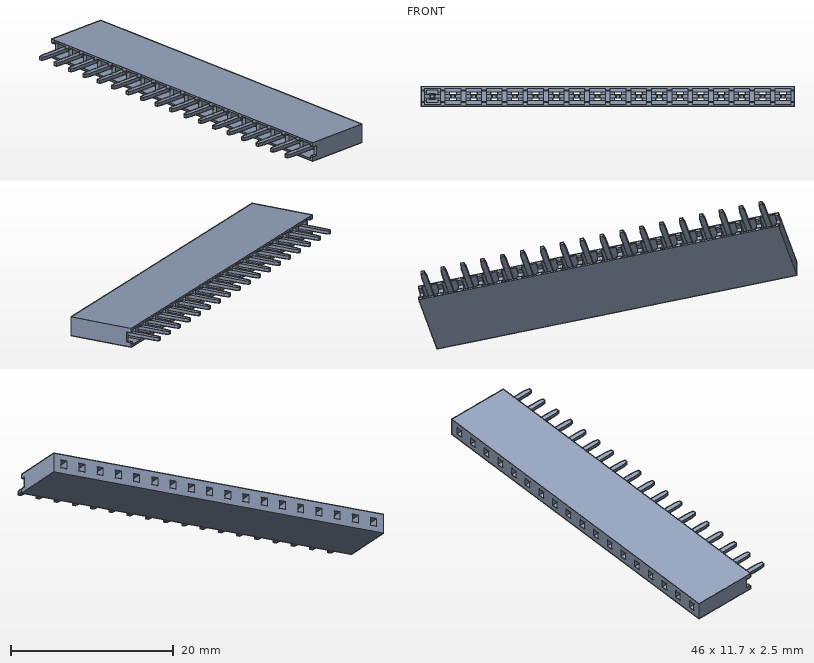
import cadquery as cq

LENGTH = 45.95
HEIGHT = 2.5
BODY_DEPTH = 8.5
TOTAL_DEPTH = 11.7

PIN_COUNT = 18
END_EXTRA = 0.13
PITCH = (LENGTH - 2 * END_EXTRA) / PIN_COUNT

CHANNEL_DEPTH = 0.7
CHANNEL_HEIGHT = 1.3
MOUTH_CHAMFER = 0.15

CELL_WIDTH = 1.95
POCKET_HEIGHT = 1.98
POCKET_DEPTH = 2.3
SLOT_HEIGHT = 1.0
SLOT_DEPTH = 3.7
WINDOW_WIDTH = 0.85

PIN_WIDTH = 0.65
PIN_THICKNESS = 0.4
TIP_WIDTH = 0.4
TIP_LENGTH = 0.65
SHOULDER_LENGTH = 0.9
SHOULDER_STANDOFF = 0.35

PLUG_WIDTH = 1.43
PLUG_HEIGHT = 1.55
PLUG_STANDOFF = 0.2
PLUG_BORE_WIDTH = 0.75
PLUG_BORE_HEIGHT = 0.7

SHOULDER_Y = POCKET_DEPTH - SHOULDER_STANDOFF
PIN_TIP_Y = BODY_DEPTH - TOTAL_DEPTH
FIRST_PIN_X = -PITCH * (PIN_COUNT - 1) / 2
PIN_POSITIONS = [FIRST_PIN_X + i * PITCH for i in range(PIN_COUNT)]


def block(x_center, width, y_start, y_end, height):
    """Box centred on x_center and on Z = 0, between two Y positions."""
    return (
        cq.Workplane("XY")
        .box(width, y_end - y_start, height, centered=(True, False, True))
        .translate((x_center, y_start, 0))
    )


def channel():
    """Full-length groove in the pin face, flared at its mouth."""
    half = CHANNEL_HEIGHT / 2
    return (
        cq.Workplane("YZ")
        .moveTo(0, -half - MOUTH_CHAMFER)
        .lineTo(MOUTH_CHAMFER, -half)
        .lineTo(CHANNEL_DEPTH, -half)
        .lineTo(CHANNEL_DEPTH, half)
        .lineTo(MOUTH_CHAMFER, half)
        .lineTo(0, half + MOUTH_CHAMFER)
        .close()
        .extrude(LENGTH / 2, both=True)
    )


def cell(x):
    """Stepped opening for one contact, passing through the housing."""
    pocket = block(x, CELL_WIDTH, 0, POCKET_DEPTH, POCKET_HEIGHT)
    slot = block(x, CELL_WIDTH, 0, SLOT_DEPTH, SLOT_HEIGHT)
    window = block(x, WINDOW_WIDTH, 0, BODY_DEPTH, SLOT_HEIGHT)
    return pocket.union(slot).union(window)


def contact(x):
    """Flat pin tapering to its tip, held by a shoulder bar between the cell walls."""
    shoulder = block(x, CELL_WIDTH, SHOULDER_Y, SHOULDER_Y + SHOULDER_LENGTH, PIN_THICKNESS)
    taper_y = PIN_TIP_Y + TIP_LENGTH
    pin = (
        cq.Workplane("XY", origin=(x, 0, 0))
        .moveTo(-TIP_WIDTH / 2, PIN_TIP_Y)
        .lineTo(TIP_WIDTH / 2, PIN_TIP_Y)
        .lineTo(PIN_WIDTH / 2, taper_y)
        .lineTo(PIN_WIDTH / 2, SHOULDER_Y)
        .lineTo(-PIN_WIDTH / 2, SHOULDER_Y)
        .lineTo(-PIN_WIDTH / 2, taper_y)
        .close()
        .extrude(PIN_THICKNESS / 2, both=True)
    )
    return shoulder.union(pin)


def plug(x):
    """Sleeve that fills the cell opening, leaving a small bore around the contact."""
    front_y = POCKET_DEPTH - PLUG_STANDOFF
    body = block(x, PLUG_WIDTH, front_y, SLOT_DEPTH, PLUG_HEIGHT)
    bore = block(x, PLUG_BORE_WIDTH, front_y, SLOT_DEPTH, PLUG_BORE_HEIGHT)
    return body.cut(bore)


housing = block(0, LENGTH, 0, BODY_DEPTH, HEIGHT).cut(channel())
for pin_x in PIN_POSITIONS:
    housing = housing.cut(cell(pin_x)).union(contact(pin_x))

result = housing.union(plug(PIN_POSITIONS[0]))